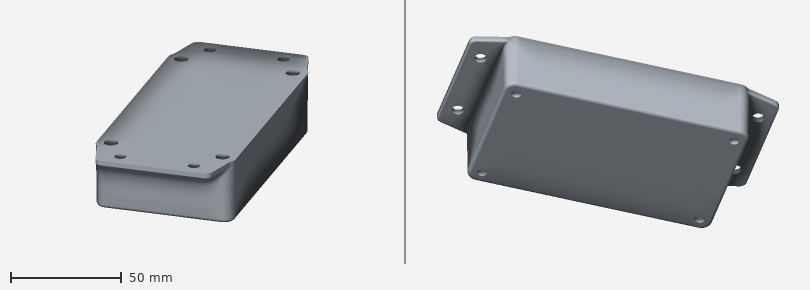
import cadquery as cq
import math

FLANGE_LENGTH = 146.4
BOX_WIDTH = 66.3
BOX_LENGTH = 116.2
TOTAL_HEIGHT = 30.0
CORNER_RADIUS = 5.4
DRAFT_ANGLE = 0.9

COVER_HEIGHT = 5.0
COVER_EDGE_RADIUS = 1.6

FLANGE_THICKNESS = 3.0
FLANGE_END_WIDTH = 54.2
FLANGE_SIDE_ANGLE = 15.1
FLANGE_CORNER_RADIUS = 3.4
FLANGE_EDGE_RADIUS = 0.9

MOUNT_HOLE_DIAMETER = 5.5
MOUNT_HOLE_SPACING_X = 35.0
MOUNT_HOLE_SPACING_Y = 131.3

SCREW_SPACING_X = 53.0
SCREW_SPACING_Y = 103.0
SCREW_HOLE_DIAMETER = 4.5
HEAD_RECESS_TOP_DIAMETER = 6.6
HEAD_RECESS_FLOOR_DIAMETER = 6.1
HEAD_RECESS_DEPTH = 8.8

BODY_HEIGHT = TOTAL_HEIGHT - COVER_HEIGHT
DRAFT_INSET = BODY_HEIGHT * math.tan(math.radians(DRAFT_ANGLE))
COVER_WIDTH = BOX_WIDTH - 2 * DRAFT_INSET
COVER_LENGTH = BOX_LENGTH - 2 * DRAFT_INSET
COVER_CORNER_RADIUS = CORNER_RADIUS - DRAFT_INSET


def rounded_outline(z):
    """Rounded rectangle of the parting line, placed at height z."""
    return (
        cq.Workplane("XY", origin=(0, 0, z))
        .sketch()
        .rect(COVER_WIDTH, COVER_LENGTH)
        .vertices()
        .fillet(COVER_CORNER_RADIUS)
        .finalize()
    )


def make_end_flange():
    """Tapering tab at the +Y end, rooted inside the box at the corner axes."""
    root_y = BOX_LENGTH / 2 - CORNER_RADIUS
    end_y = FLANGE_LENGTH / 2
    end_x = FLANGE_END_WIDTH / 2
    root_x = end_x + (end_y - root_y) * math.tan(math.radians(FLANGE_SIDE_ANGLE))
    outline = [(-root_x, root_y), (root_x, root_y), (end_x, end_y), (-end_x, end_y)]
    tab = (
        cq.Workplane("XY", origin=(0, 0, TOTAL_HEIGHT - FLANGE_THICKNESS))
        .polyline(outline)
        .close()
        .extrude(FLANGE_THICKNESS)
    )
    tab = tab.edges("|Z and >Y").fillet(FLANGE_CORNER_RADIUS)
    outer_bottom_edges = tab.faces("<Z").edges("not <Y")
    return outer_bottom_edges.fillet(FLANGE_EDGE_RADIUS)


def hole_cutters(diameter, spacing_x, spacing_y):
    """Four full-height cylinders at the corners of a rectangle."""
    return (
        cq.Workplane("XY")
        .rect(spacing_x, spacing_y, forConstruction=True)
        .vertices()
        .circle(diameter / 2)
        .extrude(TOTAL_HEIGHT)
    )


def head_recess_cutters():
    """Four cones that narrow downwards from the top face around the screw axes."""
    radius_change = (HEAD_RECESS_TOP_DIAMETER - HEAD_RECESS_FLOOR_DIAMETER) / 2
    taper = math.degrees(math.atan(radius_change / HEAD_RECESS_DEPTH))
    return (
        cq.Workplane("XY", origin=(0, 0, TOTAL_HEIGHT - HEAD_RECESS_DEPTH))
        .rect(SCREW_SPACING_X, SCREW_SPACING_Y, forConstruction=True)
        .vertices()
        .circle(HEAD_RECESS_FLOOR_DIAMETER / 2)
        .extrude(HEAD_RECESS_DEPTH, taper=-taper)
    )


def make_box(screw_holes):
    box = rounded_outline(COVER_HEIGHT).extrude(BODY_HEIGHT, taper=-DRAFT_ANGLE)
    flange = make_end_flange()
    box = box.union(flange).union(flange.mirror("XZ"))
    mount_holes = hole_cutters(MOUNT_HOLE_DIAMETER, MOUNT_HOLE_SPACING_X, MOUNT_HOLE_SPACING_Y)
    return box.cut(mount_holes).cut(screw_holes).cut(head_recess_cutters())


def make_cover(screw_holes):
    cover = rounded_outline(0).extrude(COVER_HEIGHT)
    cover = cover.faces("<Z").edges().fillet(COVER_EDGE_RADIUS)
    return cover.cut(screw_holes)


screw_holes = hole_cutters(SCREW_HOLE_DIAMETER, SCREW_SPACING_X, SCREW_SPACING_Y)
box = make_box(screw_holes)
cover = make_cover(screw_holes)

result = cq.Compound.makeCompound([box.val(), cover.val()])